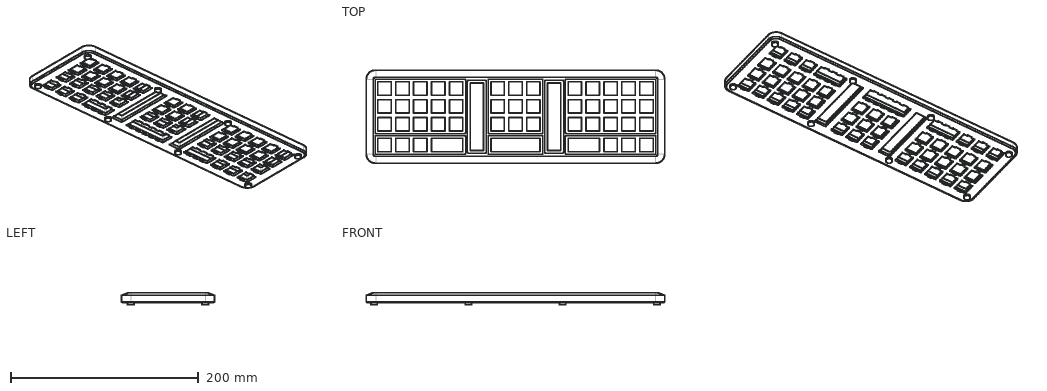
import cadquery as cq

length = 317.75
width = 99.2
body_height = 11.0
corner_radius = 10.0
top_bevel_run = 7.5
top_bevel_drop = 3.0
bottom_bevel_run = 1.75
bottom_bevel_rise = 1.25

key_pitch = 19.05
switch_opening = 14.0
key_clearance = 1.0
wall = 2.0
floor_thickness = 3.0
pocket_corner_radius = 1.2
main_rows = 3
side_columns = 5
middle_columns = 3

notch_width = 5.0
notch_depth = 1.0
clip_lip = 1.5
notch_pitch = key_pitch / 2

slot_pocket_length = 77.5
slot_opening_length = 71.5

foot_diameter = 7.0
foot_height = 2.0
foot_spacing_x = 100.25
foot_spacing_y = 79.2
feet_along_x = 4
feet_along_y = 2


def pocket_span(keys):
    """Side of a pocket that holds a given number of keys."""
    return keys * key_pitch + key_clearance


def opening_span(keys):
    """Side of an opening that spans a given number of key positions."""
    return (keys - 1) * key_pitch + switch_opening


slot_x = pocket_span(middle_columns) / 2 + wall + pocket_span(1) / 2
side_block_x = slot_x + pocket_span(1) / 2 + wall + pocket_span(side_columns) / 2
field_width = pocket_span(main_rows) + wall + pocket_span(1)
main_y = (field_width - pocket_span(main_rows)) / 2
bottom_row_y = -(field_width - pocket_span(1)) / 2

notch_span = switch_opening + 2 * notch_depth
notch_height = floor_thickness - clip_lip


def make_body():
    """Rounded slab with a wide sloping bevel on top and a small bevel below."""
    slab = cq.Workplane("XY").box(length, width, body_height, centered=(True, True, False))
    slab = slab.edges("|Z").fillet(corner_radius)
    slab = slab.faces(">Z").chamfer(top_bevel_drop, top_bevel_run)
    return slab.faces("<Z").chamfer(bottom_bevel_rise, bottom_bevel_run)


def make_pocket(x, y, size_x, size_y):
    """Pocket from the floor surface up through the top of the case."""
    depth = body_height - floor_thickness
    pocket = cq.Workplane("XY", origin=(x, y, floor_thickness)).rect(size_x, size_y).extrude(depth)
    return pocket.edges("|Z").fillet(pocket_corner_radius)


def make_opening(x, y, size_x, size_y):
    """Rectangular opening through the floor."""
    return cq.Workplane("XY", origin=(x, y, 0)).rect(size_x, size_y).extrude(body_height)


def make_bottom_row_notches(x, keys):
    """Clip notches of a bottom row opening, at every half key position along it."""
    return (
        cq.Workplane("XY", origin=(x, bottom_row_y, 0))
        .rarray(notch_pitch, key_pitch, 2 * keys - 1, 1)
        .rect(notch_width, notch_span)
        .extrude(notch_height)
    )


def cut_key_block(case, block_x, columns, bottom_keys):
    """Cut one key block: a grid of single keys above a bottom row of keys of the given widths."""
    block_width = pocket_span(columns)
    case = case.cut(make_pocket(block_x, main_y, block_width, pocket_span(main_rows)))
    case = case.cut(make_pocket(block_x, bottom_row_y, block_width, pocket_span(1)))

    grid = (
        cq.Workplane("XY", origin=(block_x, main_y, 0))
        .rarray(key_pitch, key_pitch, columns, main_rows)
        .rect(switch_opening, switch_opening)
        .extrude(body_height)
    )
    case = case.cut(grid)
    case = case.cut(
        cq.Workplane("XY", origin=(block_x, main_y, 0))
        .rarray(key_pitch, key_pitch, columns, main_rows)
        .rect(notch_width, notch_span)
        .extrude(notch_height)
    )

    key_start = block_x - columns * key_pitch / 2
    for keys in bottom_keys:
        key_x = key_start + keys * key_pitch / 2
        case = case.cut(make_opening(key_x, bottom_row_y, opening_span(keys), switch_opening))
        case = case.cut(make_bottom_row_notches(key_x, keys))
        key_start += keys * key_pitch
    return case


def cut_slot(case, x):
    """Cut one long narrow pocket with a matching opening in its floor."""
    case = case.cut(make_pocket(x, 0, pocket_span(1), slot_pocket_length))
    return case.cut(make_opening(x, 0, switch_opening, slot_opening_length))


def make_feet():
    """Round feet below the case."""
    return (
        cq.Workplane("XY")
        .rarray(foot_spacing_x, foot_spacing_y, feet_along_x, feet_along_y)
        .circle(foot_diameter / 2)
        .extrude(-foot_height)
    )


case = make_body()
case = cut_key_block(case, -side_block_x, side_columns, (1, 1, 1, 2))
case = cut_key_block(case, 0, middle_columns, (3,))
case = cut_key_block(case, side_block_x, side_columns, (2, 1, 1, 1))
for slot_side in (-1, 1):
    case = cut_slot(case, slot_side * slot_x)
result = case.union(make_feet())